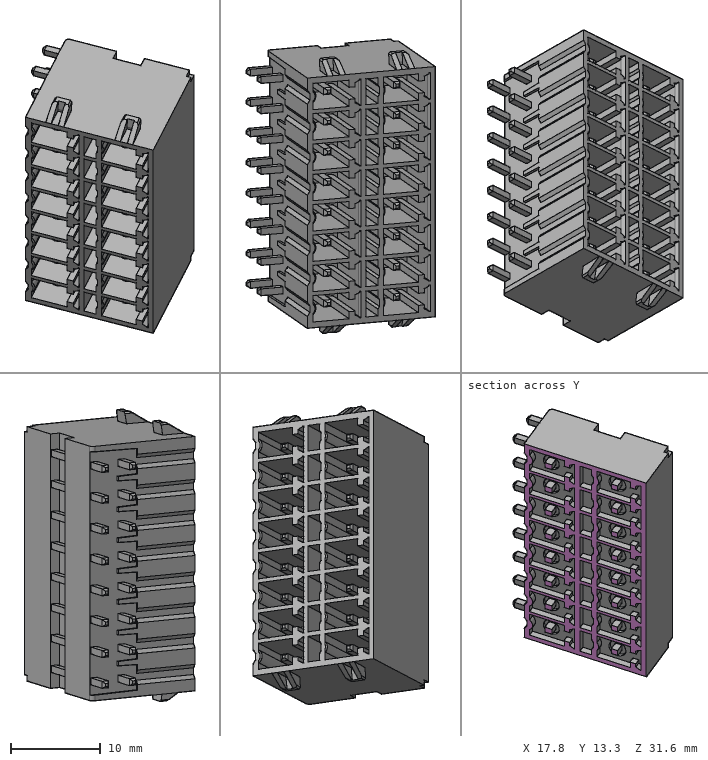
import cadquery as cq


body_width = 15.2
body_depth = 13.3
overall_height = 31.6
body_height = 28.88
solder_corner_radius = 0.47

rows = 8
row_span = 24.5
row_pitch = row_span / (rows - 1)
row_levels = [(row - (rows - 1) / 2) * row_pitch for row in range(rows)]
column_pitch = 8.22

pocket_depth = 7.35
pocket_height = 3.03
first_pocket_left = 0.7
second_pocket_left = 9.07
first_pocket_right = 6.38
tab_left = 4.95
tab_right = 5.7
tab_length = 0.82
tab_root_length = 0.35
tab_slope_end_length = 0.05
mouth_chamfer_width = 0.13
mouth_chamfer_depth = 0.57
key_tip = 1.07
key_radius = 0.92
key_chamfer = 0.15
ring_depth = 0.32
first_ring_radius = 0.98
second_ring_radius = 1.05

slot_left = 6.95
slot_right = 8.37
slot_height = 2.97
slot_key_depth = 0.2
slot_key_outer_half = 0.7
slot_key_inner_half = 0.4

recess_depth = 0.32
recess_start = 7.35
end_wall_back = 0.63
end_wall_front = 0.73
rib_length = 2.45
rib_root = 0.63
rib_tip = 0.5
groove_outer_half = 0.82
groove_floor_half = 0.38

channel_left = 6.0
channel_right = 9.3
channel_depth = 1.17
corner_notch_width = 0.55
corner_notch_depth = 1.05
corner_notch_height = 0.63

pin_size = 0.8
first_pin_width = 0.9
first_tip_shift = 0.05
tip_size = 0.35
tip_length = 0.32
contact_end = 1.5
solder_length = 2.6
first_pin_x = 3.03
second_pin_x = first_pin_x + column_pitch
back_pin_y = 12.8
front_pin_y = back_pin_y - row_pitch

hook_height = (overall_height - body_height) / 2
first_hook_x = 3.48
hook_front_width = 2.15
hook_back_width = 1.95
hook_base_length = 2.75
hook_top_length = 2.97
hook_slope_length = 2.2
hook_edge_chamfer = 0.2
hook_channel_width = 0.82
hook_channel_length = 2.15
hook_channel_top_length = 2.4
hook_channel_step = 0.3


def box(x0, x1, y0, y1, z0, z1):
    """Box between two opposite corners."""
    return cq.Workplane("XY").box(x1 - x0, y1 - y0, z1 - z0, centered=False).translate((x0, y0, z0))


def extrude_back(outline, start, depth):
    """Extrude a closed (x, z) outline from Y = start towards the back."""
    return cq.Workplane("XZ", origin=(0, start, 0)).polyline(outline).close().extrude(-depth)


def cylinder_back(x, radius, start, depth):
    """Cylinder along Y, centred on the row level."""
    return cq.Workplane("XZ", origin=(x, start, 0)).circle(radius).extrude(-depth)


def mirrored_outline(upper):
    """Close an upper (x, z) outline with its mirror image below Z = 0."""
    return upper + [(x, -z) for x, z in reversed(upper)]


def at_rows(shape):
    """Copies of one shape at every row level."""
    return [shape.translate((0, 0, level)).val() for level in row_levels]


def plug_pocket(left, shift, pin_x, ring_radius):
    """Pocket with two coding tabs, a round key rib and a ring recess at the pin."""
    half = pocket_height / 2
    right = first_pocket_right + shift
    lead_in = right - mouth_chamfer_width
    outline = mirrored_outline([
        (left, half),
        (tab_left + shift, half),
        (tab_left + shift, half - tab_length),
        (tab_right + shift, half - tab_length),
        (tab_right + shift, half - tab_root_length),
        (lead_in, half - tab_slope_end_length),
    ])
    pocket = extrude_back(outline, 0, pocket_depth)
    mouth = (
        cq.Workplane("XY", origin=(0, 0, -half))
        .polyline([(lead_in, 0), (right, 0), (lead_in, mouth_chamfer_depth)]).close()
        .extrude(pocket_height)
    )
    key_rib = cylinder_back(key_tip + shift - key_radius, key_radius, 0, pocket_depth)
    key_rib = key_rib.faces("<Y").chamfer(key_chamfer)
    ring = cylinder_back(pin_x, ring_radius, pocket_depth, ring_depth)
    return pocket.cut(key_rib).union(mouth).union(ring)


def middle_slot():
    """Slot between the columns, with a shallow key groove in its right wall."""
    groove_floor = slot_right + slot_key_depth
    outline = mirrored_outline([
        (slot_left, slot_height / 2),
        (slot_right, slot_height / 2),
        (slot_right, slot_key_outer_half),
        (groove_floor, slot_key_inner_half),
    ])
    return extrude_back(outline, 0, pocket_depth)


def key_groove():
    """Tapered groove in the solder side, from the mating face to the recess."""
    outline = mirrored_outline([(0, groove_outer_half), (recess_depth, groove_floor_half)])
    return extrude_back(outline, 0, recess_start)


def solder_side_recess():
    """Recess around the solder pins; tapered ribs between the rows stay standing."""
    half = body_height / 2
    front_half = half - end_wall_front
    back_half = half - end_wall_back
    recess = (
        cq.Workplane("YZ")
        .polyline([(recess_start, front_half), (body_depth, back_half),
                   (body_depth, -back_half), (recess_start, -front_half)]).close()
        .extrude(recess_depth)
    )
    rib = (
        cq.Workplane("YZ")
        .polyline([(recess_start, rib_root / 2), (recess_start + rib_length, rib_tip / 2),
                   (recess_start + rib_length, -rib_tip / 2), (recess_start, -rib_root / 2)]).close()
        .extrude(recess_depth)
    )
    for level in row_levels[:-1]:
        recess = recess.cut(rib.translate((0, 0, level + row_pitch / 2)))
    return recess


def housing():
    """Housing block with every pocket, groove and recess."""
    half = body_height / 2
    block = box(0, body_width, 0, body_depth, -half, half)
    block = block.edges("|Z and <X and >Y").fillet(solder_corner_radius)
    row_cutters = (
        at_rows(plug_pocket(first_pocket_left, 0, first_pin_x, first_ring_radius))
        + at_rows(plug_pocket(second_pocket_left, column_pitch, second_pin_x, second_ring_radius))
        + at_rows(middle_slot())
        + at_rows(key_groove())
    )
    block = block.cut(cq.Workplane(cq.Compound.makeCompound(row_cutters)))
    block = block.cut(solder_side_recess())
    block = block.cut(box(channel_left, channel_right, body_depth - channel_depth, body_depth, -half, half))
    for bottom in (-half, half - corner_notch_height):
        block = block.cut(box(body_width - corner_notch_width, body_width,
                              body_depth - corner_notch_depth, body_depth,
                              bottom, bottom + corner_notch_height))
    return block


def bent_pin(contact_x, contact_width, tip_shift, solder_y):
    """L-shaped pin: contact leg along Y, solder leg along X, both with tapered tips."""
    half = pin_size / 2
    contact_leg = box(contact_x - contact_width / 2, contact_x + contact_width / 2,
                      contact_end + tip_length, solder_y + half, -half, half)
    contact_tip = (
        cq.Workplane("XZ", origin=(contact_x, contact_end + tip_length, 0))
        .rect(contact_width, pin_size)
        .workplane(offset=tip_length).center(tip_shift, 0)
        .rect(tip_size, tip_size).loft()
    )
    solder_leg = box(tip_length - solder_length, contact_x, solder_y - half, solder_y + half, -half, half)
    solder_tip = (
        cq.Workplane("YZ", origin=(tip_length - solder_length, solder_y, 0))
        .rect(pin_size, pin_size)
        .workplane(offset=-tip_length)
        .rect(tip_size, tip_size).loft()
    )
    return contact_leg.union(contact_tip).union(solder_leg).union(solder_tip)


def latch_hook(center_x):
    """Ramped hook on the top end, narrowing to the back, with a channel in its ramp."""
    base = body_height / 2
    top = base + hook_height
    half_front = hook_front_width / 2
    half_back = hook_back_width / 2
    ramp = (
        cq.Workplane("YZ", origin=(-half_front, 0, 0))
        .polyline([(0, base), (hook_slope_length, top),
                   (hook_top_length, top), (hook_base_length, base)]).close()
        .extrude(hook_front_width)
    )
    plan = (
        cq.Workplane("XY", origin=(0, 0, base))
        .polyline([(-half_front, 0), (half_front, 0),
                   (half_back, hook_top_length), (-half_back, hook_top_length)]).close()
        .extrude(hook_height)
    )
    plan = plan.faces(">Z").edges("<X or >X").chamfer(hook_edge_chamfer)
    channel = (
        cq.Workplane("YZ", origin=(-hook_channel_width / 2, 0, 0))
        .polyline([(0, base), (hook_channel_length, base),
                   (hook_channel_length, base + hook_channel_step),
                   (hook_channel_top_length, top), (0, top)]).close()
        .extrude(hook_channel_width)
    )
    return ramp.intersect(plan).cut(channel).translate((center_x, 0, 0))


result = housing()
pins = (
    at_rows(bent_pin(first_pin_x, first_pin_width, first_tip_shift, front_pin_y))
    + at_rows(bent_pin(second_pin_x, pin_size, 0, back_pin_y))
)
for pin in pins:
    result = result.union(cq.Workplane(pin))
for hook_x in (first_hook_x, first_hook_x + column_pitch):
    hook = latch_hook(hook_x)
    result = result.union(hook).union(hook.mirror("XY"))